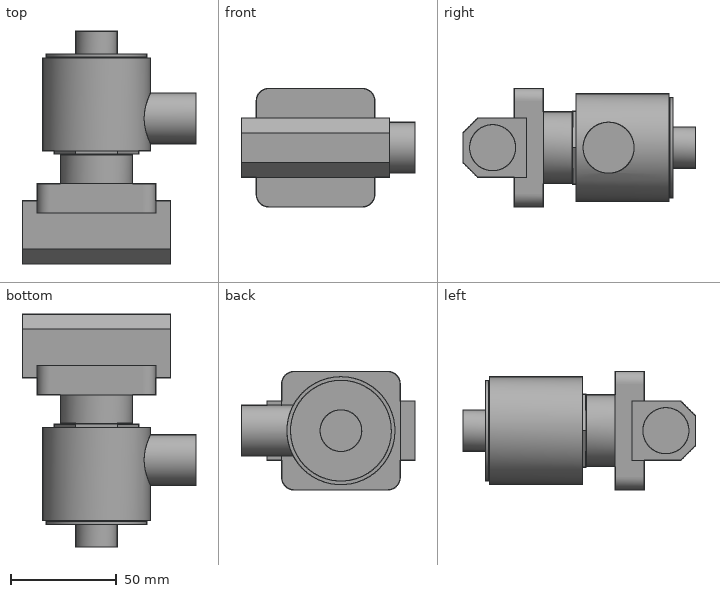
import cadquery as cq
import math


block_length = 70.0
block_depth = 30.0
block_height = 28.0
block_chamfer = 7.0
port_diameter = 21.8
port_depth = 12.7
port_center_y = 14.1

bonnet_side = 56.0
bonnet_start = 24.2
bonnet_end = 38.0
bonnet_corner_radius = 6.0
neck_diameter = 34.1
neck_end = 51.5

end_clearance = 0.3
hex_across_flats = 34.6
hex_start = neck_end + end_clearance
hex_end = 53.4
coil_diameter = 51.0
coil_end = 97.3
conduit_diameter = 24.1
conduit_center_y = 68.8
overall_length_x = 82.0
conduit_end_x = overall_length_x - block_length / 2

stem_diameter = 19.7
stem_end = 109.9
cap_diameter = 47.6
cap_start = coil_end + end_clearance
cap_end = 99.2


def section_plane(y):
    """Plane across the main axis at y, with its normal along +Y."""
    return cq.Workplane(cq.Plane(origin=(0, y, 0), xDir=(0, 0, 1), normal=(0, 1, 0)))


def axial_cylinder(diameter, start, end):
    return section_plane(start).circle(diameter / 2).extrude(end - start)


def make_block():
    """Rectangular bar along X with its two outer edges chamfered and a blind port in each end."""
    block = (
        cq.Workplane("XY")
        .box(block_length, block_depth, block_height)
        .edges("|X and <Y")
        .chamfer(block_chamfer)
        .translate((0, block_depth / 2, 0))
    )
    for side in (-1, 1):
        end_plane = cq.Plane(
            origin=(side * block_length / 2, port_center_y, 0), xDir=(0, 1, 0), normal=(-side, 0, 0)
        )
        block = block.cut(cq.Workplane(end_plane).circle(port_diameter / 2).extrude(port_depth))
    return block


def make_bonnet():
    return (
        section_plane(bonnet_start)
        .rect(bonnet_side, bonnet_side)
        .extrude(bonnet_end - bonnet_start)
        .edges("|Y")
        .fillet(bonnet_corner_radius)
    )


def make_hex_collar():
    """Hexagon with two corners on the X axis."""
    across_corners = hex_across_flats / math.cos(math.pi / 6)
    return (
        section_plane(hex_start)
        .transformed(rotate=(0, 0, 90))
        .polygon(6, across_corners)
        .extrude(hex_end - hex_start)
    )


def make_valve_body():
    """Block, bonnet and neck, with the stem and its cap on top."""
    block_envelope = cq.Workplane("XY").box(block_length, 2 * block_depth, block_height)
    bonnet = make_bonnet().cut(block_envelope)
    neck = axial_cylinder(neck_diameter, bonnet_end, neck_end)
    stem = axial_cylinder(stem_diameter, neck_end, stem_end)
    cap = axial_cylinder(cap_diameter, cap_start, cap_end)
    return make_block().union(bonnet).union(neck).union(stem).union(cap)


def make_coil():
    """Coil housing with its hexagonal collar and side conduit, bored to fit the stem."""
    housing = axial_cylinder(coil_diameter, hex_end, coil_end)
    conduit = (
        cq.Workplane("YZ")
        .center(conduit_center_y, 0)
        .circle(conduit_diameter / 2)
        .extrude(conduit_end_x)
    )
    stem_bore = axial_cylinder(stem_diameter, hex_start, coil_end)
    return housing.union(make_hex_collar()).union(conduit).cut(stem_bore)


valve_body = make_valve_body()
coil = make_coil()
result = cq.Compound.makeCompound([valve_body.solids().val(), coil.solids().val()])